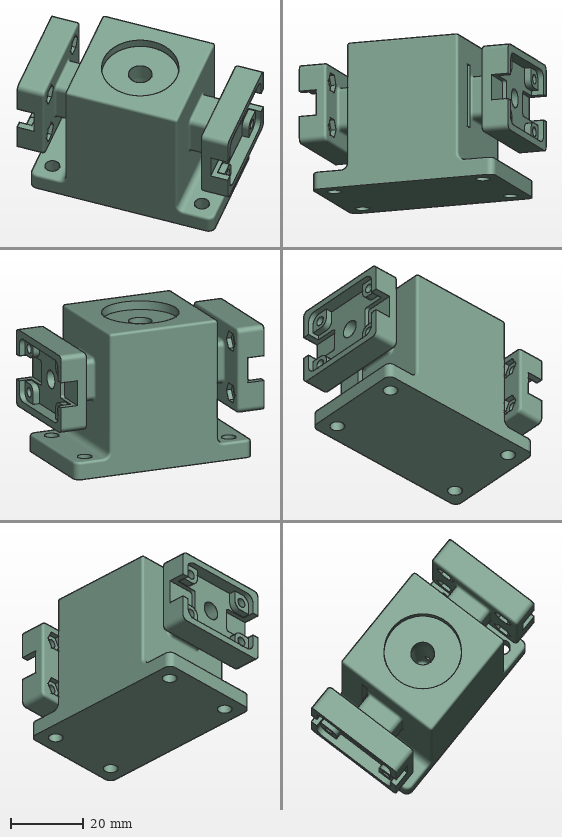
import cadquery as cq

total_length = 62.0
width = 32.0
height = 41.0
axis_z = 25.0

base_length = 54.0
base_thickness = 5.0
block_length = 33.0
root_radius = 2.0
base_corner_radius = 2.0
edge_radius = 0.75
bolt_hole_diameter = 4.1
bolt_spacing_x = 44.0
bolt_spacing_y = 22.0

recess_diameter = 21.5
recess_depth = 2.5
well_diameter = 6.5
well_floor_z = 21.0
cup_diameter = 4.5
cup_floor_diameter = 2.75
straight_well_depth = 5.0

slot_width = 1.75
slot_center_y = 7.6
slot_height = 17.75
slot_depth = 3.0

neck_size = 12.0
neck_corner_radius = 1.5
plate_thickness = 8.0
plate_width = 30.0
plate_corner_radius = 1.5
left_plate_height = 24.5
right_plate_height = 22.25

rim = 2.0
pocket_depth = 3.7
pocket_corner_radius = 2.5
post_height = 2.0
post_size_y = 5.5
post_size_z = 5.25
post_corner_radius = 2.25
screw_inset_y = 4.875
screw_inset_z = 4.75
screw_hole_diameter = 2.7
nut_across_flats = 5.0
nut_pocket_depth = 1.5
nut_turn = 30.0

side_opening_depth = 5.0
side_opening_height = 7.2
side_opening_inner_y = 6.3
side_opening_radius = 0.7

bore_diameter = 2.0
port_diameter = 5.3
port_depth = 10.0

plate_outer_x = -total_length / 2
plate_inner_x = plate_outer_x + plate_thickness
neck_length = -block_length / 2 - plate_inner_x

SIDES = (-1, 1)
CORNERS = [(side, level) for side in SIDES for level in SIDES]


def x_box(x_start, length, size_y, size_z, center_y=0, center_z=axis_z):
    """Box that runs from x_start along +X, centred at the given Y and Z."""
    return (
        cq.Workplane("XY")
        .box(length, size_y, size_z, centered=(False, True, True))
        .translate((x_start, center_y, center_z))
    )


def x_cylinder(x_start, length, diameter, center_y=0, center_z=axis_z):
    """Cylinder that runs from x_start along +X."""
    return (
        cq.Workplane("YZ", origin=(x_start, 0, 0))
        .center(center_y, center_z)
        .circle(diameter / 2)
        .extrude(length)
    )


def make_body():
    """Block on a flanged base, with its outer edges rounded except on the underside."""
    half_base = base_length / 2
    half_block = block_length / 2
    blend_x = half_block + root_radius
    blend_z = base_thickness + root_radius
    body = (
        cq.Workplane("XZ", origin=(0, width / 2, 0))
        .moveTo(-half_base, 0)
        .lineTo(half_base, 0)
        .lineTo(half_base, base_thickness)
        .lineTo(blend_x, base_thickness)
        .radiusArc((half_block, blend_z), root_radius)
        .lineTo(half_block, height)
        .lineTo(-half_block, height)
        .lineTo(-half_block, blend_z)
        .radiusArc((-blend_x, base_thickness), root_radius)
        .lineTo(-half_base, base_thickness)
        .close()
        .extrude(width)
    )
    body = body.edges("|Z and (<X or >X)").fillet(base_corner_radius)
    side_edges = body.faces("<Y or >Y").edges("not <Z")
    end_edges = body.faces("<X or >X").edges(">Z")
    top_edges = body.faces(">Z").edges("|Y")
    rounded_edges = side_edges.vals() + end_edges.vals() + top_edges.vals()
    return body.newObject(rounded_edges).fillet(edge_radius)


def make_bolt_holes():
    """Through holes near the four corners of the base."""
    return (
        cq.Workplane("XY")
        .rect(bolt_spacing_x, bolt_spacing_y, forConstruction=True)
        .vertices()
        .circle(bolt_hole_diameter / 2)
        .extrude(base_thickness)
    )


def make_well():
    """Round recess with a well in its floor that narrows to a round-edged cup."""
    cup_radius = cup_diameter / 2
    cup_floor_radius = cup_floor_diameter / 2
    cup_edge_radius = cup_radius - cup_floor_radius
    cone_bottom_z = well_floor_z + cup_edge_radius
    recess_floor_z = height - recess_depth
    cone_top_z = recess_floor_z - straight_well_depth
    return (
        cq.Workplane("XZ")
        .moveTo(0, well_floor_z)
        .lineTo(cup_floor_radius, well_floor_z)
        .radiusArc((cup_radius, cone_bottom_z), -cup_edge_radius)
        .lineTo(well_diameter / 2, cone_top_z)
        .lineTo(well_diameter / 2, recess_floor_z)
        .lineTo(recess_diameter / 2, recess_floor_z)
        .lineTo(recess_diameter / 2, height)
        .lineTo(0, height)
        .close()
        .revolve(360, (0, 0, 0), (0, 1, 0))
    )


def make_plate_blank(plate_height):
    """Rounded plate with its outer face at -X and a neck that reaches the block."""
    plate = x_box(plate_outer_x, plate_thickness, plate_width, plate_height)
    plate = plate.edges("|X").fillet(plate_corner_radius)
    plate = plate.faces(">X").edges().fillet(edge_radius)
    neck = x_box(plate_inner_x, neck_length, neck_size, neck_size)
    neck = neck.edges("|X").fillet(neck_corner_radius)
    return plate.union(neck)


def make_pocket(plate_height):
    """Pocket cutter inside the rim that leaves a screw post in each corner."""
    pocket_y = plate_width - 2 * rim
    pocket_z = plate_height - 2 * rim
    pocket = x_box(plate_outer_x, pocket_depth, pocket_y, pocket_z)
    pocket = pocket.edges("|X").fillet(pocket_corner_radius)
    post_x = plate_outer_x + pocket_depth - post_height
    for side, level in CORNERS:
        post_y = side * (pocket_y - post_size_y) / 2
        post_z = axis_z + level * (pocket_z - post_size_z) / 2
        post = x_box(post_x, post_height, post_size_y, post_size_z, post_y, post_z)
        inner_y = "<Y" if side > 0 else ">Y"
        inner_z = "<Z" if level > 0 else ">Z"
        post = post.edges("|X").edges(inner_y).edges(inner_z).fillet(post_corner_radius)
        pocket = pocket.cut(post)
    return pocket


def make_side_opening(side):
    """Cutter that opens one side of the rim and sinks below the pocket floor."""
    length = plate_width / 2 - side_opening_inner_y
    center_y = side * (plate_width / 2 + side_opening_inner_y) / 2
    opening = x_box(plate_outer_x, side_opening_depth, length, side_opening_height, center_y)
    inner_end = "<Y" if side > 0 else ">Y"
    return opening.faces(inner_end).edges("|X").fillet(side_opening_radius)


def make_screw_hole(y, z):
    """Screw hole with a hexagonal nut pocket in the inner face of the plate."""
    hole = x_cylinder(plate_outer_x, plate_thickness, screw_hole_diameter, y, z)
    nut = (
        cq.Workplane("YZ", origin=(plate_inner_x - nut_pocket_depth, y, z))
        .transformed(rotate=(0, 0, nut_turn))
        .polygon(6, nut_across_flats, circumscribed=True)
        .extrude(nut_pocket_depth)
    )
    return hole.union(nut)


def make_plate(plate_height):
    """Complete -X end plate with its neck."""
    plate = make_plate_blank(plate_height).cut(make_pocket(plate_height))
    for side in SIDES:
        plate = plate.cut(make_side_opening(side))
    for side, level in CORNERS:
        screw_y = side * (plate_width / 2 - screw_inset_y)
        screw_z = axis_z + level * (plate_height / 2 - screw_inset_z)
        plate = plate.cut(make_screw_hole(screw_y, screw_z))
    return plate


def blend_neck_end(part, x):
    """Blend the end of a neck at the given X into the face it meets."""
    margin = 0.01
    reach = neck_size / 2 + margin
    neck_end = cq.selectors.BoxSelector(
        (x - margin, -reach, axis_z - reach),
        (x + margin, reach, axis_z + reach),
        boundingbox=True,
    )
    return part.edges(neck_end).fillet(edge_radius)


def make_cross_bore():
    """Bore along X through the whole part, widened to a port at each end."""
    bore = x_cylinder(plate_outer_x, total_length, bore_diameter)
    left_port = x_cylinder(plate_outer_x, port_depth, port_diameter)
    return bore.union(left_port).union(left_port.mirror("YZ"))


left_plate = make_plate(left_plate_height)
right_plate = make_plate(right_plate_height).mirror("YZ")
result = make_body().union(left_plate).union(right_plate)

for side in SIDES:
    result = blend_neck_end(result, side * plate_inner_x)
    result = blend_neck_end(result, side * block_length / 2)

slot = x_box(-block_length / 2, slot_depth, slot_width, slot_height, slot_center_y)
result = result.cut(make_bolt_holes()).cut(make_well()).cut(slot).cut(make_cross_bore())